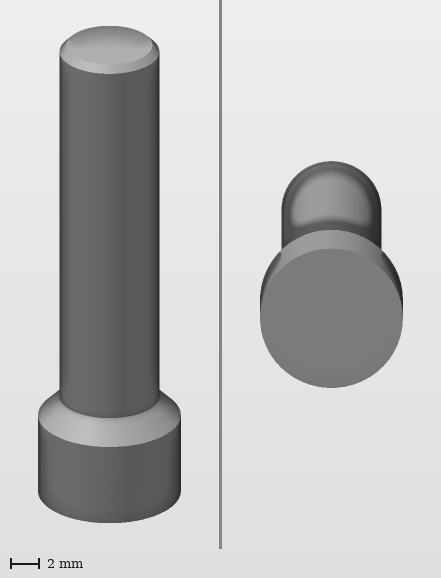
import cadquery as cq

total_length = 35.0
shaft_diameter = 7.0
shaft_chamfer = 0.5
collar_diameter = 10.0
collar_straight_height = 6.0
collar_height = 7.5

shaft_radius = shaft_diameter / 2
collar_radius = collar_diameter / 2


def make_shaft():
    """Round pin with a chamfered top, running the full length through the collar."""
    return (
        cq.Workplane("XY")
        .circle(shaft_radius)
        .extrude(total_length)
        .faces(">Z")
        .edges()
        .chamfer(shaft_chamfer)
    )


def make_collar():
    """Ring around the foot of the shaft, tapering to the shaft diameter at its top."""
    profile = [
        (shaft_radius, 0),
        (collar_radius, 0),
        (collar_radius, collar_straight_height),
        (shaft_radius, collar_height),
    ]
    return cq.Workplane("XZ").polyline(profile).close().revolve(360, (0, 0), (0, 1))


shaft = make_shaft()
collar = make_collar()

result = cq.Compound.makeCompound([shaft.val(), collar.val()])